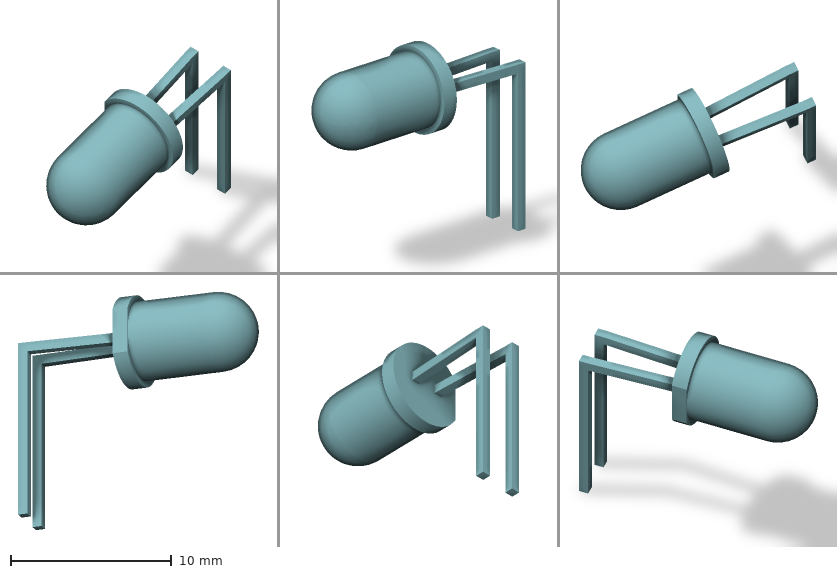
import cadquery as cq

total_length = 15.25
total_height = 13.9
lens_diameter = 5.0
flange_diameter = 5.8
flange_thickness = 1.0
lead_length = 6.63
lead_width = 0.61
lead_spacing = 2.53
root_spacing = 1.95

lens_radius = lens_diameter / 2
flange_radius = flange_diameter / 2
lens_length = total_length - lead_length - flange_thickness
barrel_length = lens_length - lens_radius
leg_bottom = flange_radius - total_height
half_width = lead_width / 2


def make_lens():
    """Barrel with a hemispherical front, revolved about the Y axis; y = 0 at the flange front."""
    tip = -barrel_length - lens_radius
    arc_offset = lens_radius * 0.5 ** 0.5
    return (
        cq.Workplane("XY")
        .lineTo(lens_radius, 0)
        .lineTo(lens_radius, -barrel_length)
        .threePointArc((arc_offset, -barrel_length - arc_offset), (0, tip))
        .close()
        .revolve(360, (0, 0, 0), (0, 1, 0))
    )


def make_flange():
    """Rim at the back of the lens, with the polarity flat tangent to the barrel on -X."""
    rim = cq.Workplane("XZ").circle(flange_radius).extrude(-flange_thickness)
    keep = (
        cq.Workplane("XY")
        .box(2 * flange_diameter, flange_thickness, flange_diameter, centered=(False, False, True))
        .translate((-lens_radius, 0, 0))
    )
    return rim.intersect(keep)


def make_lead(side):
    """Lead that splays outward behind the flange, then drops straight down; side is -1 or 1."""
    root_x = side * root_spacing / 2
    leg_x = side * lead_spacing / 2
    root_y = flange_thickness
    rear_y = flange_thickness + lead_length
    splayed = (
        cq.Workplane("XY")
        .workplane(offset=-half_width)
        .polyline([
            (root_x - half_width, root_y),
            (root_x + half_width, root_y),
            (leg_x + half_width, rear_y - lead_width),
            (leg_x + half_width, rear_y),
            (leg_x - half_width, rear_y),
            (leg_x - half_width, rear_y - lead_width),
        ])
        .close()
        .extrude(lead_width)
    )
    leg = (
        cq.Workplane("XY")
        .center(leg_x, rear_y - half_width)
        .rect(lead_width, lead_width)
        .extrude(leg_bottom)
    )
    return splayed.union(leg)


result = make_lens().union(make_flange())
for lead_side in (-1, 1):
    result = result.union(make_lead(lead_side))